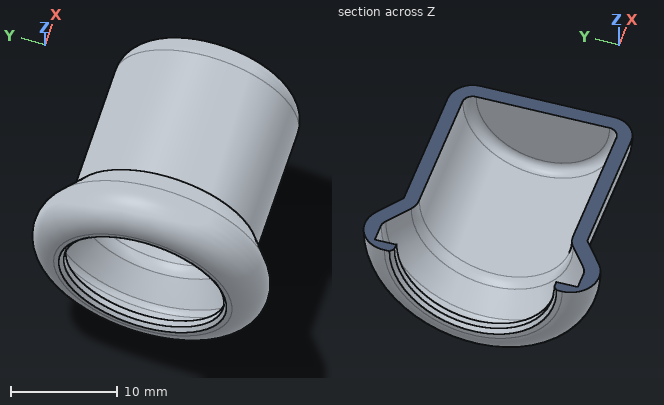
import cadquery as cq
import math

length = 23.0
lip_diameter = 23.2
body_diameter = 18.2
body_start = 7.0
end_fillet = 2.5

lip_tube_radius = 2.8
lip_cone_start = 4.6

mouth_diameter = 16.53
throat_diameter = 15.8
bore_diameter = 15.2
throat_start = 0.4
throat_end = 1.07
chamber_diameter = 20.04
chamber_fillet = 1.11
bore_fillet = 2.0
bore_start = 7.07

body_radius = body_diameter / 2
mouth_radius = mouth_diameter / 2
throat_radius = throat_diameter / 2
bore_radius = bore_diameter / 2
chamber_radius = chamber_diameter / 2
wall = body_radius - bore_radius
floor_x = length - wall
floor_fillet = end_fillet - wall
lip_center_radius = lip_diameter / 2 - lip_tube_radius
lip_cone_radius = lip_center_radius + math.sqrt(lip_tube_radius**2 - (lip_cone_start - lip_tube_radius) ** 2)

cone_angle = math.atan2(lip_cone_radius - body_radius, body_start - lip_cone_start)
bore_fillet_center = (bore_start, bore_radius + bore_fillet)
cone_end_x = bore_start - bore_fillet * math.sin(cone_angle)
cone_end_radius = bore_radius + bore_fillet * (1 - math.cos(cone_angle))
cone_start_radius = chamber_radius - chamber_fillet * (1 - math.cos(cone_angle))
cone_start_x = cone_end_x - (cone_start_radius - cone_end_radius) / math.tan(cone_angle)
chamber_fillet_center = (cone_start_x - chamber_fillet * math.sin(cone_angle), chamber_radius - chamber_fillet)


def point_on_circle(center, radius, angle):
    """Point on a circle, with the angle measured from the radial direction towards +X."""
    return (center[0] + radius * math.sin(angle), center[1] + radius * math.cos(angle))


def corner_middle(x_end, radius, fillet):
    """Middle point of the quarter round at the closed end of a profile."""
    inset = fillet * (1 - math.sqrt(0.5))
    return (x_end - inset, radius - inset)


profile = (
    cq.Workplane("XY")
    .moveTo(0, mouth_radius)
    .lineTo(0, lip_center_radius)
    .threePointArc((lip_tube_radius, lip_diameter / 2), (lip_cone_start, lip_cone_radius))
    .lineTo(body_start, body_radius)
    .lineTo(length - end_fillet, body_radius)
    .threePointArc(corner_middle(length, body_radius, end_fillet), (length, body_radius - end_fillet))
    .lineTo(length, 0)
    .lineTo(floor_x, 0)
    .lineTo(floor_x, bore_radius - floor_fillet)
    .threePointArc(corner_middle(floor_x, bore_radius, floor_fillet), (floor_x - floor_fillet, bore_radius))
    .lineTo(bore_start, bore_radius)
    .threePointArc(
        point_on_circle(bore_fillet_center, -bore_fillet, cone_angle / 2),
        (cone_end_x, cone_end_radius),
    )
    .lineTo(cone_start_x, cone_start_radius)
    .threePointArc(
        point_on_circle(chamber_fillet_center, chamber_fillet, cone_angle / 2),
        (chamber_fillet_center[0], chamber_radius),
    )
    .lineTo(throat_end, chamber_radius)
    .lineTo(throat_end, throat_radius)
    .lineTo(throat_start, throat_radius)
    .close()
)

result = profile.revolve(360, (0, 0, 0), (1, 0, 0))